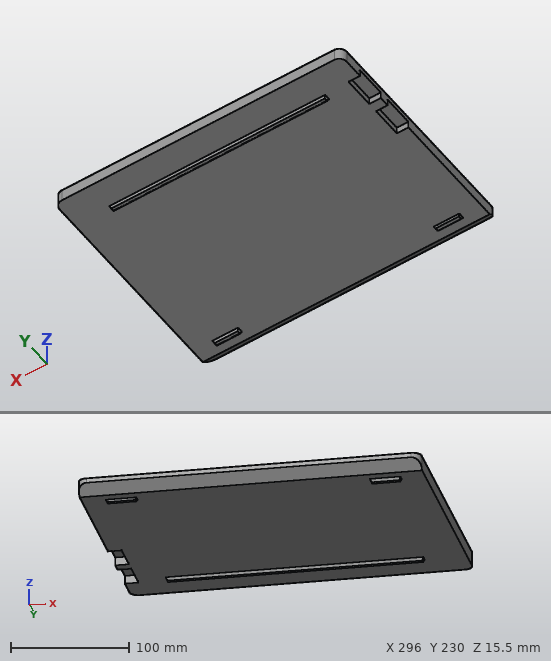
import cadquery as cq

LENGTH = 296.0
WIDTH = 230.0
TOTAL_HEIGHT = 15.5
FOOT_HEIGHT = 2.7
SLAB_HEIGHT = TOTAL_HEIGHT - FOOT_HEIGHT
CORNER_RADIUS = 7.7

LIP_HEIGHT = 4.0
BEVEL_RUN = 10.0

NOTCH_COUNT = 2
NOTCH_LENGTH = 30.8
NOTCH_HEIGHT = 7.0
NOTCH_DEPTH = 11.8
NOTCH_PITCH = 40.8
REAR_NOTCH_SETBACK = 27.5

FOOT_WIDTH = 6.0
FOOT_TAPER = 1.2
FRONT_FOOT_LENGTH = 26.3
FRONT_FOOT_INSET = 20.7
FRONT_FOOT_SETBACK = 22.5
LEFT_FOOT_HEIGHT = 1.8
REAR_FOOT_LENGTH = 222.5
REAR_FOOT_SETBACK = 31.5

OVERLAP = 0.5


def make_slab():
    """Rounded rectangular slab with its underside at Z = 0."""
    slab = cq.Workplane("XY").rect(LENGTH, WIDTH).extrude(SLAB_HEIGHT)
    return slab.edges("|Z").fillet(CORNER_RADIUS)


def make_front_bevel():
    """Triangular prism that undercuts the whole front edge."""
    front = -WIDTH / 2
    profile = [
        (front, 0),
        (front + BEVEL_RUN, 0),
        (front, SLAB_HEIGHT - LIP_HEIGHT),
    ]
    return cq.Workplane("YZ").polyline(profile).close().extrude(LENGTH / 2, both=True)


def make_notch(rear_end):
    """Rectangular notch in the left side, running forward from rear_end."""
    notch = cq.Workplane("XY").box(NOTCH_DEPTH, NOTCH_LENGTH, NOTCH_HEIGHT, centered=False)
    return notch.translate((-LENGTH / 2, rear_end - NOTCH_LENGTH, 0))


def make_foot(center_x, center_y, length, height):
    """Foot that narrows on all four sides from the underside down to its flat bottom."""
    root = cq.Workplane("XY").rect(length, FOOT_WIDTH).extrude(OVERLAP)
    pad = (
        cq.Workplane("XY")
        .rect(length, FOOT_WIDTH)
        .workplane(offset=-height)
        .rect(length - 2 * FOOT_TAPER, FOOT_WIDTH - 2 * FOOT_TAPER)
        .loft(ruled=True)
    )
    return root.union(pad).translate((center_x, center_y, 0))


result = make_slab().cut(make_front_bevel())

for index in range(NOTCH_COUNT):
    result = result.cut(make_notch(WIDTH / 2 - REAR_NOTCH_SETBACK - index * NOTCH_PITCH))

front_foot_x = LENGTH / 2 - FRONT_FOOT_INSET - FRONT_FOOT_LENGTH / 2
front_foot_y = -WIDTH / 2 + FRONT_FOOT_SETBACK
rear_foot_y = WIDTH / 2 - REAR_FOOT_SETBACK

result = result.union(make_foot(-front_foot_x, front_foot_y, FRONT_FOOT_LENGTH, LEFT_FOOT_HEIGHT))
result = result.union(make_foot(front_foot_x, front_foot_y, FRONT_FOOT_LENGTH, FOOT_HEIGHT))
result = result.union(make_foot(0, rear_foot_y, REAR_FOOT_LENGTH, FOOT_HEIGHT))